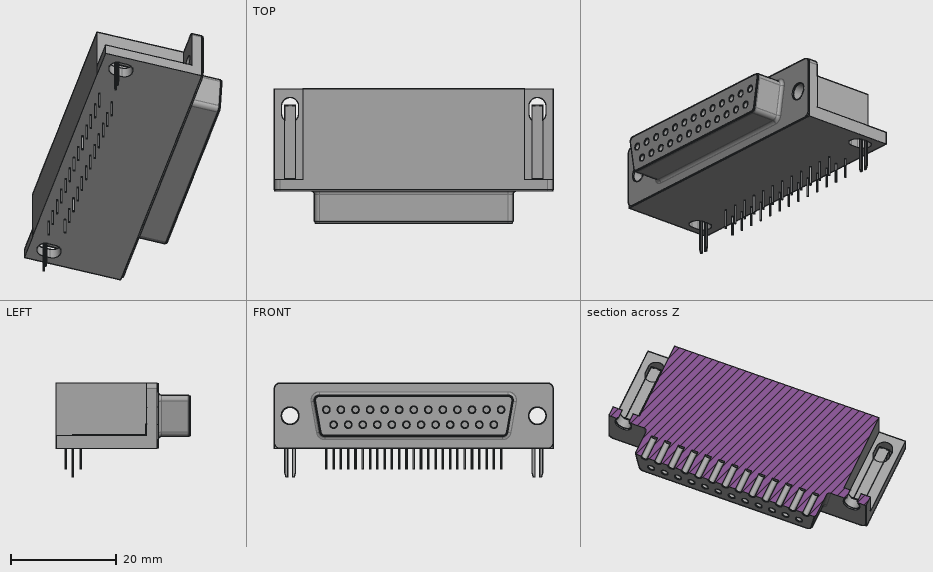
import cadquery as cq
import math


flange_width = 53.1
flange_height = 12.5
flange_thickness = 2.25
plate_thickness = 0.3
plate_inset = 0.08
plate_hole_diameter = 3.4
flange_corner_radius = 1.1
screw_spacing = 47.04
screw_hole_diameter = 3.2

foot_depth = 19.44
foot_thickness = 2.5
body_width = 42.2
body_depth = 19.5

overall_depth = 25.6
shell_length = overall_depth - body_depth
shell_height = 7.9
shell_top_half_width = 19.13
shell_side_angle = 10
shell_corner_radius = 1.0
shell_base_fillet = 0.6
shell_centre_z = flange_height / 2
insert_projection = 0.3
insert_inset = 0.15
insert_edge_chamfer = 0.1
shell_lip_fillet = 0.14

contact_pitch = 2.77
row_spacing = 2.84
upper_row_count = 13
lower_row_count = 12
contact_centre_z = 5.98
socket_diameter = 1.2
socket_depth = 5.0
socket_mouth_chamfer = 0.12
pin_diameter = 0.3
pin_length = 3.9
pin_tip_chamfer = 0.06
rear_pin_y = 17.65

slot_width = 3.2
slot_length = 4.65
slot_end_y = 17.8
clip_width = 2.1
clip_thickness = 0.2
clip_bend_radius = 0.19
clip_rise = 0.2
clip_end_y = 16.4
clip_tab_top = 4.65
leg_gap = 0.85
overall_height = 17.9
leg_length = overall_height - flange_height
leg_taper_length = 0.8
leg_taper_width = 0.25

pin_embedment = 0.5
selection_margin = 0.01


def box(x_range, y_range, z_range):
    """Axis-aligned box between the given limits."""
    (x0, x1), (y0, y1), (z0, z1) = x_range, y_range, z_range
    return cq.Workplane("XY").box(x1 - x0, y1 - y0, z1 - z0, centered=False).translate((x0, y0, z0))


def mirrored_x_range(width):
    return (-width / 2, width / 2)


def row_positions(count):
    """X positions of one contact row, centred on X = 0."""
    return [(i - (count - 1) / 2) * contact_pitch for i in range(count)]


def d_prism(y_front, y_back, inset=0):
    """D-shaped prism along Y, its outline shrunk inward by the inset."""
    half_height = shell_height / 2
    slope = math.tan(math.radians(shell_side_angle))
    bottom_half_width = shell_top_half_width - shell_height * slope
    outline = cq.Workplane("XZ", origin=(0, y_back, shell_centre_z)).polyline([
        (-shell_top_half_width, half_height),
        (shell_top_half_width, half_height),
        (bottom_half_width, -half_height),
        (-bottom_half_width, -half_height),
    ]).close()
    if inset:
        outline = outline.offset2D(-inset)
    return outline.extrude(y_back - y_front).edges("|Y").fillet(shell_corner_radius - inset)


def make_shell():
    """Drawn shell with a rounded front lip and the contact insert standing out of it."""
    shell = d_prism(insert_projection - shell_length, 0)
    shell = shell.faces("<Y").edges().fillet(shell_lip_fillet)
    insert = d_prism(-shell_length, 0, insert_inset)
    insert = insert.faces("<Y").edges().chamfer(insert_edge_chamfer)
    return shell.union(insert)


def make_flange():
    """Metal plate with its shell flared into it, backed by the moulded wall."""
    plate = box(
        mirrored_x_range(flange_width - 2 * plate_inset),
        (0, plate_thickness),
        (plate_inset, flange_height - plate_inset),
    )
    plate = plate.edges("|Y").fillet(flange_corner_radius - plate_inset)
    plate = plate.union(make_shell())
    shell_root = cq.selectors.BoxSelector(
        (-shell_top_half_width, -selection_margin, shell_centre_z - shell_height / 2 - selection_margin),
        (shell_top_half_width, selection_margin, shell_centre_z + shell_height / 2 + selection_margin),
    )
    plate = plate.edges(shell_root).fillet(shell_base_fillet)
    wall = box(mirrored_x_range(flange_width), (plate_thickness, flange_thickness), (0, flange_height))
    wall = wall.edges("|Y and >Z").fillet(flange_corner_radius)
    return plate.union(wall)


def make_housing():
    foot = box(mirrored_x_range(flange_width), (flange_thickness, foot_depth), (0, foot_thickness))
    body = box(mirrored_x_range(body_width), (flange_thickness, body_depth), (0, flange_height))
    return body.union(foot)


def screw_cylinders(diameter, depth):
    """Cylinders at both screw positions, running back from the flange face."""
    return (
        cq.Workplane("XZ", origin=(0, depth, flange_height / 2))
        .pushPoints([(-screw_spacing / 2, 0), (screw_spacing / 2, 0)])
        .circle(diameter / 2)
        .extrude(depth)
    )


def cut_screw_holes(part):
    part = part.cut(screw_cylinders(screw_hole_diameter, flange_thickness))
    return part.cut(screw_cylinders(plate_hole_diameter, plate_thickness))


def cut_slots(part):
    slots = (
        cq.Workplane("XY", origin=(0, slot_end_y - slot_length / 2, 0))
        .pushPoints([(-screw_spacing / 2, 0), (screw_spacing / 2, 0)])
        .slot2D(slot_length, slot_width, 90)
        .extrude(foot_thickness)
    )
    return part.cut(slots)


def contact_rows():
    return [
        (upper_row_count, contact_centre_z + row_spacing / 2, rear_pin_y),
        (lower_row_count, contact_centre_z - row_spacing / 2, rear_pin_y - row_spacing),
    ]


def cut_sockets(part):
    for count, z, _ in contact_rows():
        sockets = (
            cq.Workplane("XZ", origin=(0, socket_depth - shell_length, z))
            .pushPoints([(x, 0) for x in row_positions(count)])
            .circle(socket_diameter / 2)
            .extrude(socket_depth)
        )
        mouths = (
            cq.Workplane("XZ", origin=(0, -shell_length, z))
            .pushPoints([(x, 0) for x in row_positions(count)])
            .circle(socket_diameter / 2 + socket_mouth_chamfer)
            .extrude(-socket_mouth_chamfer, taper=45)
        )
        part = part.cut(sockets).cut(mouths)
    return part


def add_pins(part):
    for count, _, y in contact_rows():
        pins = (
            cq.Workplane("XY", origin=(0, y, -pin_length))
            .pushPoints([(x, 0) for x in row_positions(count)])
            .circle(pin_diameter / 2)
            .extrude(pin_length + pin_embedment)
            .faces("<Z")
            .edges()
            .chamfer(pin_tip_chamfer)
        )
        part = part.union(pins)
    return part


def make_clip():
    """Sheet-metal clip centred on X = 0: tab, bar along the foot and two legs."""
    x_range = mirrored_x_range(clip_width)
    top = foot_thickness + clip_rise
    underside = top - clip_thickness
    tab = box(x_range, (flange_thickness, flange_thickness + clip_thickness), (underside, clip_tab_top))
    bar = box(x_range, (flange_thickness, clip_end_y), (underside, top))
    bar = bar.edges("|X and >Z and >Y").fillet(clip_bend_radius)
    clip = tab.union(bar)
    outer = clip_width / 2
    inner = leg_gap / 2
    for side in (-1, 1):
        leg = cq.Workplane("XZ", origin=(0, clip_end_y, 0)).polyline([
            (side * outer, underside),
            (side * outer, leg_taper_length - leg_length),
            (side * (outer - leg_taper_width), -leg_length),
            (side * inner, -leg_length),
            (side * inner, underside),
        ]).close().extrude(clip_thickness)
        clip = clip.union(leg)
    return clip


def add_clips(part):
    clip = make_clip()
    for side in (-1, 1):
        part = part.union(clip.translate((side * screw_spacing / 2, 0, 0)))
    return part


connector = make_flange().union(make_housing())
connector = cut_screw_holes(connector)
connector = cut_slots(connector)
connector = cut_sockets(connector)
connector = add_pins(connector)
result = add_clips(connector)